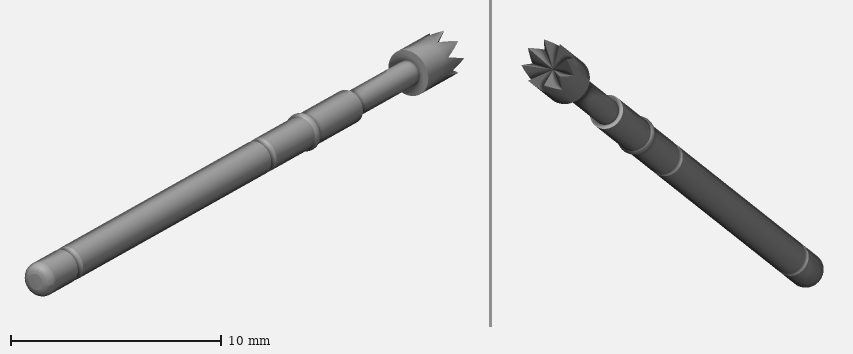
import cadquery as cq
import math

length = 34.0
head_radius = 1.15
head_length = 3.0
plunger_radius = 0.65
barrel_radius = 0.85
barrel_length = 26.0
tail_rounding = 0.45

collar_radius = 0.95
collar_width = 0.48
collar_from_tip = 11.75

groove_depth = 0.2
groove_width = 0.45
grooves_from_tip = (15.4, 31.5)

tooth_count = 8
tooth_depth = 1.2

tip_y = length / 2
tail_y = -length / 2


def rod(radius, start_y, rod_length):
    """Solid cylinder on the Y axis reaching from start_y towards +Y."""
    return cq.Workplane("XZ", origin=(0, start_y, 0)).circle(radius).extrude(-rod_length)


def make_barrel():
    barrel = rod(barrel_radius, tail_y, barrel_length)
    return barrel.faces("<Y").edges().fillet(tail_rounding)


def make_plunger():
    plunger_start = tail_y + barrel_length
    plunger_length = length - barrel_length - head_length
    return rod(plunger_radius, plunger_start, plunger_length)


def make_collar():
    """Ring around the barrel with a bulging outer profile."""
    center_y = tip_y - collar_from_tip
    start_y = center_y - collar_width / 2
    end_y = center_y + collar_width / 2
    profile = (
        cq.Workplane("XY")
        .moveTo(0, start_y)
        .lineTo(barrel_radius, start_y)
        .threePointArc((collar_radius, center_y), (barrel_radius, end_y))
        .lineTo(0, end_y)
        .close()
    )
    return profile.revolve(360, (0, 0, 0), (0, 1, 0))


def make_groove(from_tip):
    """Ring of V section that is cut from the barrel."""
    center_y = tip_y - from_tip
    half_width = groove_width / 2
    profile = cq.Workplane("XY").polyline([
        (barrel_radius, center_y - half_width),
        (barrel_radius - groove_depth, center_y),
        (barrel_radius, center_y + half_width),
    ]).close()
    return profile.revolve(360, (0, 0, 0), (0, 1, 0))


def make_head():
    """Crown whose teeth are left between V notches running across the full diameter."""
    head = rod(head_radius, tip_y - head_length, head_length)
    pitch = 360 / tooth_count
    half_width = head_radius * math.sin(math.radians(pitch / 2))
    notch = (
        cq.Workplane("XY")
        .polyline([(-half_width, tip_y), (0, tip_y - tooth_depth), (half_width, tip_y)])
        .close()
        .extrude(head_radius, both=True)
    )
    for index in range(tooth_count // 2):
        head = head.cut(notch.rotate((0, 0, 0), (0, 1, 0), (index + 0.5) * pitch))
    return head


result = make_barrel().union(make_collar())
for groove_from_tip in grooves_from_tip:
    result = result.cut(make_groove(groove_from_tip))
result = result.union(make_plunger()).union(make_head())